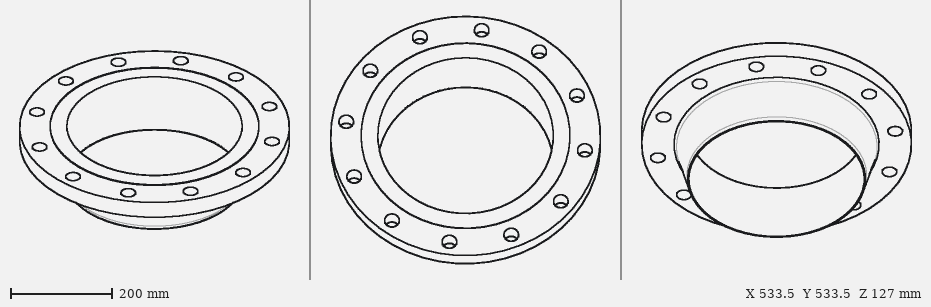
import cadquery as cq

flange_diameter = 533.5
flange_thickness = 35.0
raised_face_diameter = 413.0
raised_face_height = 1.5

total_height = 127.0
bore_diameter = 346.5
root_diameter = 405.5
neck_top_diameter = 397.0
root_height = 6.5
neck_bottom_diameter = 356.0
end_diameter = 351.5
end_bevel_height = 9.0

bolt_count = 12
bolt_circle_diameter = 476.0
bolt_hole_diameter = 29.0

flange_top = total_height - raised_face_height
flange_bottom = flange_top - flange_thickness
neck_top = flange_bottom - root_height

root_hollow = 0.5
root_middle = (
    (root_diameter + neck_top_diameter) / 4 - root_hollow,
    (flange_bottom + neck_top) / 2 + root_hollow,
)


def flange_body():
    """Revolve the half section in the XZ plane around the Z axis."""
    section = (
        cq.Workplane("XZ")
        .moveTo(bore_diameter / 2, 0)
        .lineTo(end_diameter / 2, 0)
        .lineTo(neck_bottom_diameter / 2, end_bevel_height)
        .lineTo(neck_top_diameter / 2, neck_top)
        .threePointArc(root_middle, (root_diameter / 2, flange_bottom))
        .lineTo(flange_diameter / 2, flange_bottom)
        .lineTo(flange_diameter / 2, flange_top)
        .lineTo(raised_face_diameter / 2, flange_top)
        .lineTo(raised_face_diameter / 2, total_height)
        .lineTo(bore_diameter / 2, total_height)
        .close()
    )
    return section.revolve(360, (0, 0, 0), (0, 1, 0))


def bolt_holes():
    """Cylinders through the flange plate, the first one on the +X axis."""
    return (
        cq.Workplane("XY")
        .workplane(offset=flange_bottom)
        .polarArray(bolt_circle_diameter / 2, 0, 360, bolt_count)
        .circle(bolt_hole_diameter / 2)
        .extrude(flange_thickness)
    )


result = flange_body().cut(bolt_holes())